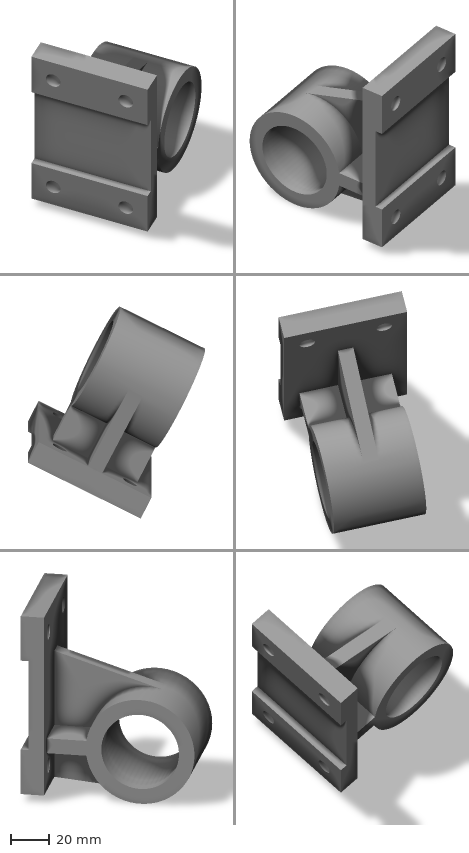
import cadquery as cq
import math

plate_width = 66.2
plate_thickness = 12.4
plate_height = 99.2
pad_height = 24.8
relief_depth = 4.1
hole_diameter = 8.3
hole_inset = 12.4

tube_length = 49.6
tube_radius = 28.9
bore_radius = 20.7
tube_y = 62
tube_z = 24.8

web_thickness = 8.3
rib_top_z = 70.3
rib_bottom_z = 0


def tangent_point(y, z, side):
    """Point where a line from (y, z) touches the tube; side is 1 for above, -1 for below."""
    distance = math.hypot(y - tube_y, z - tube_z)
    toward_start = math.atan2(z - tube_z, y - tube_y)
    angle = toward_start - side * math.acos(tube_radius / distance)
    return tube_y + tube_radius * math.cos(angle), tube_z + tube_radius * math.sin(angle)


def make_plate():
    plate = cq.Workplane("XY").box(
        plate_width, plate_thickness, plate_height, centered=(True, False, False)
    )
    relief = (
        cq.Workplane("XY")
        .box(plate_width, relief_depth, plate_height - 2 * pad_height, centered=(True, False, False))
        .translate((0, 0, pad_height))
    )
    hole_x = plate_width / 2 - hole_inset
    hole_centres = [
        (x, z) for x in (-hole_x, hole_x) for z in (hole_inset, plate_height - hole_inset)
    ]
    holes = (
        cq.Workplane("XZ")
        .pushPoints(hole_centres)
        .circle(hole_diameter / 2)
        .extrude(-plate_thickness)
    )
    return plate.cut(relief).cut(holes)


def make_cylinder(radius):
    return (
        cq.Workplane("YZ", origin=(-tube_length / 2, 0, 0))
        .center(tube_y, tube_z)
        .circle(radius)
        .extrude(tube_length)
    )


def make_rib():
    outline = [
        (plate_thickness, rib_bottom_z),
        tangent_point(plate_thickness, rib_bottom_z, -1),
        (tube_y, tube_z),
        tangent_point(plate_thickness, rib_top_z, 1),
        (plate_thickness, rib_top_z),
    ]
    return cq.Workplane("YZ").polyline(outline).close().extrude(web_thickness / 2, both=True)


def make_level_web():
    return (
        cq.Workplane("XY")
        .box(tube_length, tube_y - plate_thickness, web_thickness, centered=(True, False, True))
        .translate((0, plate_thickness, tube_z))
    )


result = (
    make_plate()
    .union(make_cylinder(tube_radius))
    .union(make_rib())
    .union(make_level_web())
    .cut(make_cylinder(bore_radius))
)